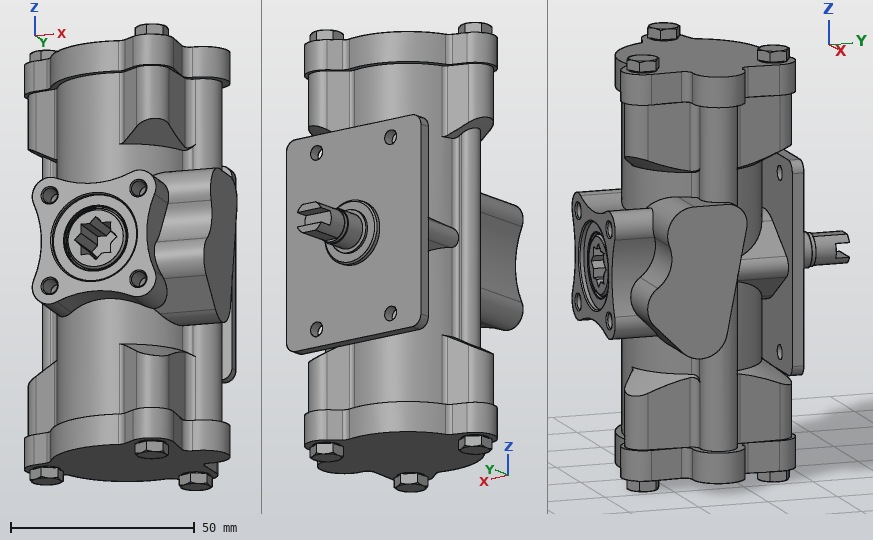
import cadquery as cq
import math

TOTAL_HEIGHT = 120.0

BOLT_CIRCLE_DIA = 46.2
BOLT_ANGLES = (54.5, 180.0, 305.5)
HEAD_FLATS = 8.0
HEAD_HEIGHT = 3.0
HEAD_CHAMFER = 0.4
WASHER_DIA = 7.7
WASHER_HEIGHT = 0.4

COVER_THICKNESS = 8.5
COVER_R = 20.9
COVER_LOBE_DIA = 12.1
COVER_CHANNEL_R = 7.3
COVER_FILLET = 2.3

BARREL_R = 19.1
BARREL_LOBE_DIA = 10.0
BARREL_CHANNEL_R = 5.2
BARREL_FILLET = 1.8
LOBE_FLARE_ANGLE = 23.3
LOBE_START_Z = 28.1
LOBE_SLOPE = 30.0

CHANNEL_X = 21.8
CHANNEL_FILLET = 2.2
CHANNEL_NECK_X = 21.1
ROD_X = 20.9
ROD_R = 3.2
ROD_FILLET = 1.7

FLANGE_FACE_Y = -28.3
FLANGE_HOLE_OFFSET = 12.7
FLANGE_CORNER_R = 5.0
FLANGE_WAIST = 15.1
FLANGE_HOLE_DIA = 4.2
FLANGE_HOLE_DEPTH = 7.2
FLANGE_HOLE_CHAMFER = 0.4
DRILL_POINT_ANGLE = 118.0
RECESS_DIA = 24.2
RECESS_DEPTH = 1.5
RECESS_CHAMFER = 0.4

PORT_FACE_X = 29.8
PORT_CORNER_TOP_BACK = (-0.2, 15.5, 5.8)
PORT_CORNER_TOP_FRONT = (-9.7, 13.5, 7.7)
PORT_CORNER_LOW_FRONT = (-16.2, -6.4, 7.0)
PORT_CORNER_LOW_BACK = (-7.8, -13.5, 7.7)
PORT_HOLLOW_R = 9.6

PLATE_BACK_Y = 24.2
PLATE_THICKNESS = 3.4
PLATE_WIDTH = 46.2
PLATE_HEIGHT = 60.0
PLATE_CORNER_R = 3.1
PLATE_HOLE_DIA = 4.1
PLATE_HOLE_X = 12.7
PLATE_HOLE_Z = 25.0
BOSS_R = 12.5
BOSS_TIP_R = 3.5
BOSS_TIP_X = 16.5

JOURNAL_DIA = 18.0
JOURNAL_CHAMFER = 0.5
NOSE_DIA = 17.0
NOSE_LENGTH = 1.2
NOSE_CHAMFER = 0.6
BORE_CHAMFER = 0.2
JOURNAL_END_Y = 25.9
COLLAR_DIA = 12.1
COLLAR_END_Y = 26.6
STEM_DIA = 10.0
STEM_END_Y = 33.0
NECK_DIA = 9.4
TANG_DIA = 9.1
TANG_FLATS = 8.0
FLATS_START_Y = 34.2
SHAFT_END_Y = 44.0
SLOT_WIDTH = 4.1
SLOT_DEPTH = 4.0
SOCKET_SQUARE = 8.5
SOCKET_DEPTH = 14.4

BOLT_CIRCLE_R = BOLT_CIRCLE_DIA / 2
BARREL_LOBE_R = BARREL_LOBE_DIA / 2
COVER_LOBE_R = COVER_LOBE_DIA / 2
COVER_TOP_Z = TOTAL_HEIGHT / 2 - HEAD_HEIGHT - WASHER_HEIGHT
COVER_BOTTOM_Z = COVER_TOP_Z - COVER_THICKNESS
RECESS_FLOOR_Y = FLANGE_FACE_Y + RECESS_DEPTH


TOUCH_GAP = 0.0001


def polar(radius, degrees):
    """Point at a distance and direction from the origin."""
    angle = math.radians(degrees)
    return radius * math.cos(angle), radius * math.sin(angle)


def hollow_between(first, second, radius):
    """Concave circle touching two round corners, to the right of the way from first to second."""
    (x1, y1, r1), (x2, y2, r2) = first, second
    gap = math.hypot(x2 - x1, y2 - y1)
    reach1 = r1 + radius
    reach2 = r2 + radius
    along = (gap**2 + reach1**2 - reach2**2) / (2 * gap)
    aside = math.sqrt(reach1**2 - along**2)
    ux = (x2 - x1) / gap
    uy = (y2 - y1) / gap
    return x1 + along * ux + aside * uy, y1 + along * uy - aside * ux, -radius


def belt(workplane, circles):
    """Closed outline running counterclockwise round (x, y, radius) circles.

    Neighbouring circles are joined by their common tangent. A negative radius is a hollow.
    """
    def on_circle(circle, angle):
        x, y, r = circle
        return x + r * math.cos(angle), y + r * math.sin(angle)

    normals = []
    for (x1, y1, r1), (x2, y2, r2) in zip(circles, circles[1:] + circles[:1]):
        span = math.hypot(x2 - x1, y2 - y1)
        lean = math.acos(max(-1.0, min(1.0, (r1 - r2) / span)))
        normals.append(math.atan2(y2 - y1, x2 - x1) - lean)

    leaves = [on_circle(circle, normal) for circle, normal in zip(circles, normals)]
    arrives = []
    for index, circle in enumerate(circles):
        point = on_circle(circle, normals[index - 1])
        touching = math.dist(point, leaves[index - 1]) < TOUCH_GAP
        arrives.append(leaves[index - 1] if touching else point)

    outline = workplane.moveTo(*arrives[0])
    for index, circle in enumerate(circles):
        if index > 0 and arrives[index] != leaves[index - 1]:
            outline = outline.lineTo(*arrives[index])
        turn = (normals[index] - normals[index - 1]) % (2 * math.pi)
        if circle[2] < 0:
            turn -= 2 * math.pi
        middle = on_circle(circle, normals[index - 1] + turn / 2)
        outline = outline.threePointArc(middle, leaves[index])
    return outline.close()


def lobed_outline(workplane, body_r, lobe_r, channel_r, fillet):
    """Round body with three bolt lobes and the channel bulge on +X."""
    body = (0, 0, body_r)
    channel = (CHANNEL_X, 0, channel_r)
    upper, left, lower = [(*polar(BOLT_CIRCLE_R, angle), lobe_r) for angle in BOLT_ANGLES]
    upper_angle, left_angle, lower_angle = BOLT_ANGLES

    def flare(angle):
        return (*polar(body_r + fillet, angle), -fillet)

    neck_y = math.sqrt((channel_r + CHANNEL_FILLET) ** 2 - (CHANNEL_X - CHANNEL_NECK_X) ** 2)
    return belt(workplane, [
        channel,
        (CHANNEL_NECK_X, neck_y, -CHANNEL_FILLET),
        upper,
        flare(upper_angle + LOBE_FLARE_ANGLE),
        body,
        flare(left_angle - LOBE_FLARE_ANGLE),
        left,
        flare(left_angle + LOBE_FLARE_ANGLE),
        body,
        flare(lower_angle - LOBE_FLARE_ANGLE),
        lower,
        (CHANNEL_NECK_X, -neck_y, -CHANNEL_FILLET),
    ])


def both_ends(upper_solid):
    """The solid together with its mirror image below the XY plane."""
    return upper_solid.union(upper_solid.mirror("XY"))


def facing_back(y):
    """Sketch plane at a height along Y, extruding toward +Y; its local axes are Z and X."""
    return cq.Workplane("ZX", origin=(0, y, 0))


def barrel():
    """Full-height core: barrel, channel and tie rod."""
    body = (0, 0, BARREL_R)
    channel = (CHANNEL_X, 0, BARREL_CHANNEL_R)
    rod = (-ROD_X, 0, ROD_R)
    hollow_reach = BARREL_R + ROD_FILLET
    hollow_y = ROD_R + ROD_FILLET
    hollow_x = math.sqrt(hollow_reach**2 - hollow_y**2)
    outline = belt(cq.Workplane("XY", origin=(0, 0, -COVER_BOTTOM_Z)), [
        channel,
        hollow_between(channel, body, CHANNEL_FILLET),
        body,
        (-hollow_x, hollow_y, -ROD_FILLET),
        rod,
        (-hollow_x, -hollow_y, -ROD_FILLET),
        body,
        hollow_between(body, channel, CHANNEL_FILLET),
    ])
    return outline.extrude(2 * COVER_BOTTOM_Z)


def end_lobes():
    """Bolt lobes outside the barrel under the upper cover, cut off below by a cone."""
    plane = cq.Workplane("XY", origin=(0, 0, LOBE_START_Z))
    block = lobed_outline(plane, BARREL_R, BARREL_LOBE_R, BARREL_CHANNEL_R, BARREL_FILLET)
    block = block.extrude(COVER_BOTTOM_Z - LOBE_START_Z)
    clear_r = BOLT_CIRCLE_R + 2 * BARREL_LOBE_R
    rise = (clear_r - BARREL_R) * math.tan(math.radians(LOBE_SLOPE))
    cone = (
        cq.Workplane("XZ")
        .polyline([
            (BARREL_R, LOBE_START_Z),
            (clear_r, LOBE_START_Z),
            (clear_r, LOBE_START_Z + rise),
        ])
        .close()
        .revolve(360, (0, 0, 0), (0, 1, 0))
    )
    return block.cut(cone).cut(barrel())


def cover():
    plane = cq.Workplane("XY", origin=(0, 0, COVER_BOTTOM_Z))
    outline = lobed_outline(plane, COVER_R, COVER_LOBE_R, COVER_CHANNEL_R, COVER_FILLET)
    return outline.extrude(COVER_THICKNESS)


def bolt_head():
    """Hexagon head with a washer face below and a chamfered top, standing on the XY plane."""
    washer = cq.Workplane("XY").circle(WASHER_DIA / 2).extrude(WASHER_HEIGHT)
    hexagon = (
        cq.Workplane("XY", origin=(0, 0, WASHER_HEIGHT))
        .transformed(rotate=(0, 0, 90))
        .polygon(6, HEAD_FLATS / math.cos(math.pi / 6))
        .extrude(HEAD_HEIGHT)
    )
    corner_r = HEAD_FLATS / 2 + HEAD_CHAMFER * math.sqrt(3)
    envelope = (
        cq.Workplane("XY", origin=(0, 0, WASHER_HEIGHT))
        .circle(corner_r)
        .extrude(HEAD_HEIGHT)
        .faces(">Z")
        .chamfer(HEAD_CHAMFER, HEAD_CHAMFER * math.sqrt(3))
    )
    return washer.union(hexagon.intersect(envelope))


def square_flange():
    """Four-cornered flange with hollow sides, from the barrel axis to the -Y face."""
    inset = FLANGE_WAIST - FLANGE_HOLE_OFFSET
    surplus = FLANGE_HOLE_OFFSET**2 + inset**2 - FLANGE_CORNER_R**2
    hollow_r = surplus / (2 * (FLANGE_CORNER_R - inset))
    hollow_center = FLANGE_WAIST + hollow_r
    circles = []
    for quarter in range(4):
        circles.append((*polar(hollow_center, 90 * quarter), -hollow_r))
        corner = polar(FLANGE_HOLE_OFFSET * math.sqrt(2), 90 * quarter + 45)
        circles.append((*corner, FLANGE_CORNER_R))
    return belt(facing_back(FLANGE_FACE_Y), circles).extrude(-FLANGE_FACE_Y)


def flange_holes():
    """Blind, countersunk screw holes with drill points."""
    hole_r = FLANGE_HOLE_DIA / 2
    mouth_r = hole_r + FLANGE_HOLE_CHAMFER
    tip = hole_r / math.tan(math.radians(DRILL_POINT_ANGLE / 2))
    hole = (
        cq.Workplane("XY")
        .polyline([
            (0, 0),
            (mouth_r, 0),
            (hole_r, FLANGE_HOLE_CHAMFER),
            (hole_r, FLANGE_HOLE_DEPTH),
            (0, FLANGE_HOLE_DEPTH + tip),
        ])
        .close()
        .revolve(360, (0, 0, 0), (0, 1, 0))
    )
    holes = cq.Workplane("XY")
    for x in (-FLANGE_HOLE_OFFSET, FLANGE_HOLE_OFFSET):
        for z in (-FLANGE_HOLE_OFFSET, FLANGE_HOLE_OFFSET):
            holes = holes.add(hole.translate((x, FLANGE_FACE_Y, z)))
    return holes.combine()


def port_block():
    """Cast block from the barrel axis to the +X face."""
    hollow = hollow_between(PORT_CORNER_TOP_FRONT, PORT_CORNER_LOW_FRONT, PORT_HOLLOW_R)
    outline = belt(cq.Workplane("YZ"), [
        PORT_CORNER_TOP_BACK,
        PORT_CORNER_TOP_FRONT,
        hollow,
        PORT_CORNER_LOW_FRONT,
        PORT_CORNER_LOW_BACK,
    ])
    return outline.extrude(PORT_FACE_X)


def mounting_plate():
    """Drilled plate and the rhombic boss that joins it to the barrel."""
    front_y = PLATE_BACK_Y - PLATE_THICKNESS
    plate = (
        facing_back(front_y)
        .rect(PLATE_HEIGHT, PLATE_WIDTH)
        .extrude(PLATE_THICKNESS)
        .edges("|Y")
        .fillet(PLATE_CORNER_R)
    )
    holes = (
        facing_back(front_y)
        .rect(2 * PLATE_HOLE_Z, 2 * PLATE_HOLE_X, forConstruction=True)
        .vertices()
        .circle(PLATE_HOLE_DIA / 2)
        .extrude(PLATE_THICKNESS)
    )
    boss = belt(facing_back(0), [
        (0, -BOSS_TIP_X, BOSS_TIP_R),
        (0, 0, BOSS_R),
        (0, BOSS_TIP_X, BOSS_TIP_R),
        (0, 0, BOSS_R),
    ]).extrude(front_y)
    return plate.cut(holes).union(boss)


def shaft_bore():
    """Shallow recess in the flange face and the chamfered bore behind it."""
    bore_r = JOURNAL_DIA / 2
    recess_r = RECESS_DIA / 2
    return (
        cq.Workplane("XY")
        .polyline([
            (0, FLANGE_FACE_Y),
            (recess_r + RECESS_CHAMFER, FLANGE_FACE_Y),
            (recess_r, FLANGE_FACE_Y + RECESS_CHAMFER),
            (recess_r, RECESS_FLOOR_Y),
            (bore_r + BORE_CHAMFER, RECESS_FLOOR_Y),
            (bore_r, RECESS_FLOOR_Y + BORE_CHAMFER),
            (bore_r, PLATE_BACK_Y),
            (0, PLATE_BACK_Y),
        ])
        .close()
        .revolve(360, (0, 0, 0), (0, 1, 0))
    )


def build_housing():
    """Barrel with covers, bolts, flange, port block and mounting plate."""
    end = end_lobes().union(cover())
    for angle in BOLT_ANGLES:
        x, y = polar(BOLT_CIRCLE_R, angle)
        end = end.union(bolt_head().translate((x, y, COVER_TOP_Z)))
    solid = barrel().union(both_ends(end))
    solid = solid.union(square_flange()).union(port_block()).union(mounting_plate())
    return solid.cut(flange_holes()).cut(shaft_bore())


def build_shaft():
    """Stepped shaft with a star socket in front and a slotted tang behind."""
    journal_r = JOURNAL_DIA / 2
    nose_r = NOSE_DIA / 2
    solid = (
        cq.Workplane("XY")
        .polyline([
            (0, RECESS_FLOOR_Y),
            (nose_r - NOSE_CHAMFER, RECESS_FLOOR_Y),
            (nose_r, RECESS_FLOOR_Y + NOSE_CHAMFER),
            (nose_r, RECESS_FLOOR_Y + NOSE_LENGTH),
            (journal_r, RECESS_FLOOR_Y + NOSE_LENGTH),
            (journal_r, JOURNAL_END_Y - JOURNAL_CHAMFER),
            (journal_r - JOURNAL_CHAMFER, JOURNAL_END_Y),
            (COLLAR_DIA / 2, JOURNAL_END_Y),
            (COLLAR_DIA / 2, COLLAR_END_Y),
            (STEM_DIA / 2, COLLAR_END_Y),
            (STEM_DIA / 2, STEM_END_Y),
            (NECK_DIA / 2, STEM_END_Y),
            (NECK_DIA / 2, FLATS_START_Y),
            (TANG_DIA / 2, FLATS_START_Y),
            (TANG_DIA / 2, SHAFT_END_Y),
            (0, SHAFT_END_Y),
        ])
        .close()
        .revolve(360, (0, 0, 0), (0, 1, 0))
    )
    for turn in (0, 45):
        square = (
            facing_back(RECESS_FLOOR_Y)
            .transformed(rotate=(0, 0, turn))
            .rect(SOCKET_SQUARE, SOCKET_SQUARE)
            .extrude(SOCKET_DEPTH)
        )
        solid = solid.cut(square)
    outside_flats = (
        facing_back(FLATS_START_Y)
        .rect(2 * TANG_DIA, 2 * TANG_DIA)
        .rect(TANG_FLATS, 2 * TANG_DIA)
        .extrude(SHAFT_END_Y - FLATS_START_Y)
    )
    solid = solid.cut(outside_flats)
    slot = facing_back(SHAFT_END_Y - SLOT_DEPTH).rect(SLOT_WIDTH, 2 * TANG_DIA).extrude(SLOT_DEPTH)
    return solid.cut(slot)


housing = build_housing()
shaft = build_shaft()
result = cq.Compound.makeCompound([housing.val(), shaft.val()])